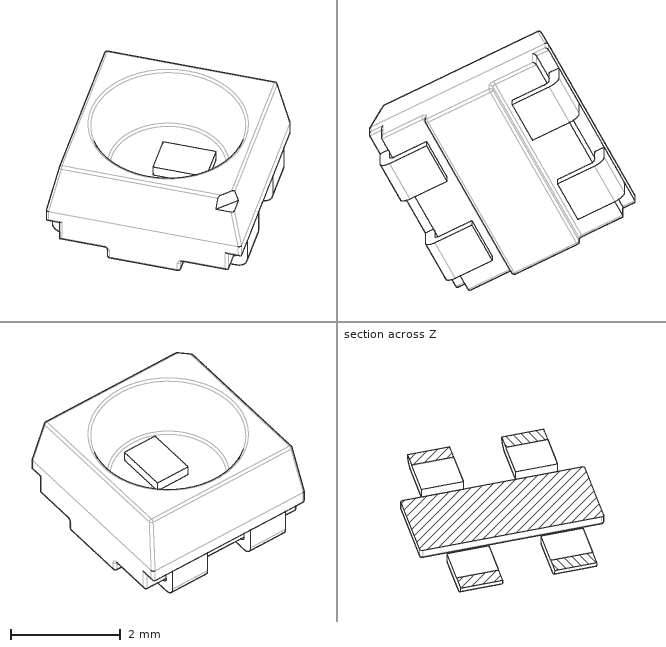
import cadquery as cq

length = 3.68
width = 3.48
height = 1.95
edge_round = 0.05

base_top = 0.9
ledge_bottom = 0.65
waist_inset = 0.25
waist_bottom = 0.25
foot_length = 1.385

cap_inset_x = 0.22
cap_inset_y = 0.12

bowl_rim_radius = 1.425
bowl_floor_radius = 1.1
bowl_floor = base_top
bowl_round = 0.05

notch_depth = 0.3
notch_reach = 3.0

lead_thickness = 0.2
lead_width = 0.8
lead_pitch = 1.777
lead_foot = 0.96
lead_outer_radius = 0.2
lead_inner_radius = 0.1

tolerance = 0.005

chip_length = 1.0
chip_width = 0.7
chip_height = 0.2
chip_x = 0.295
chip_y = 0.05


def make_base():
    half_length = length / 2
    half_waist = half_length - waist_inset
    half_foot = foot_length / 2
    outline = [
        (-half_length, base_top),
        (-half_length, ledge_bottom),
        (-half_waist, ledge_bottom),
        (-half_waist, waist_bottom),
        (-half_foot, waist_bottom),
        (-half_foot, 0),
        (half_foot, 0),
        (half_foot, waist_bottom),
        (half_waist, waist_bottom),
        (half_waist, ledge_bottom),
        (half_length, ledge_bottom),
        (half_length, base_top),
    ]
    base = cq.Workplane("XZ").polyline(outline).close().extrude(width / 2, both=True)
    inside_corners = cq.selectors.BoxSelector(
        (-half_foot - tolerance, -width, waist_bottom - tolerance),
        (half_foot + tolerance, width, waist_bottom + tolerance),
    )
    base = base.edges("|Y").edges(inside_corners).fillet(edge_round)
    return base.edges("(<Y or >Y or <Z) and (not >Z)").fillet(edge_round)


def tapered_bar(plane, bottom, inset, depth):
    """Symmetric trapezoid over the cap's height, narrowing by inset per side, extruded to depth."""
    outline = [
        (-bottom / 2, base_top),
        (bottom / 2, base_top),
        (bottom / 2 - inset, height),
        (-bottom / 2 + inset, height),
    ]
    return cq.Workplane(plane).polyline(outline).close().extrude(depth / 2, both=True)


def make_cap():
    cap = tapered_bar("XZ", length, cap_inset_x, width).intersect(
        tapered_bar("YZ", width, cap_inset_y, length)
    )
    return cap.edges("not <Z").fillet(edge_round)


def make_bowl():
    return (
        cq.Workplane("XZ")
        .moveTo(0, bowl_floor)
        .lineTo(bowl_floor_radius, bowl_floor)
        .lineTo(bowl_rim_radius, height)
        .lineTo(0, height)
        .close()
        .revolve(360, (0, 0), (0, 1))
    )


def make_notch():
    return (
        cq.Workplane("XY")
        .workplane(offset=height - notch_depth)
        .polyline([(notch_reach, 0), (notch_reach, -notch_reach), (0, -notch_reach)])
        .close()
        .extrude(notch_depth)
    )


def make_housing():
    body = make_base().union(make_cap()).cut(make_bowl())
    bowl_reach = bowl_rim_radius + tolerance
    bowl_edges = cq.selectors.BoxSelector(
        (-bowl_reach, -bowl_reach, bowl_floor - tolerance),
        (bowl_reach, bowl_reach, height + tolerance),
        boundingbox=True,
    )
    body = body.edges("%CIRCLE").edges(bowl_edges).fillet(bowl_round)
    return body.cut(make_notch())


def make_lead(side, y):
    """One lead; side is -1 or 1 for the end it stands at."""
    outer = length / 2
    inner = outer - lead_thickness
    tip = outer - lead_foot
    return (
        cq.Workplane("XZ", origin=(0, y, 0))
        .moveTo(side * tip, 0)
        .lineTo(side * (outer - lead_outer_radius), 0)
        .radiusArc((side * outer, lead_outer_radius), -side * lead_outer_radius)
        .lineTo(side * outer, ledge_bottom)
        .lineTo(side * inner, ledge_bottom)
        .lineTo(side * inner, lead_thickness + lead_inner_radius)
        .radiusArc((side * (inner - lead_inner_radius), lead_thickness), side * lead_inner_radius)
        .lineTo(side * tip, lead_thickness)
        .close()
        .extrude(lead_width / 2, both=True)
    )


def make_chip():
    return (
        cq.Workplane("XY", origin=(chip_x, chip_y, bowl_floor))
        .rect(chip_length, chip_width)
        .extrude(chip_height)
    )


housing = make_housing()
chip = make_chip()
leads = [make_lead(side, row * lead_pitch / 2) for side in (-1, 1) for row in (-1, 1)]

result = cq.Compound.makeCompound([housing.val(), chip.val(), *[lead.val() for lead in leads]])